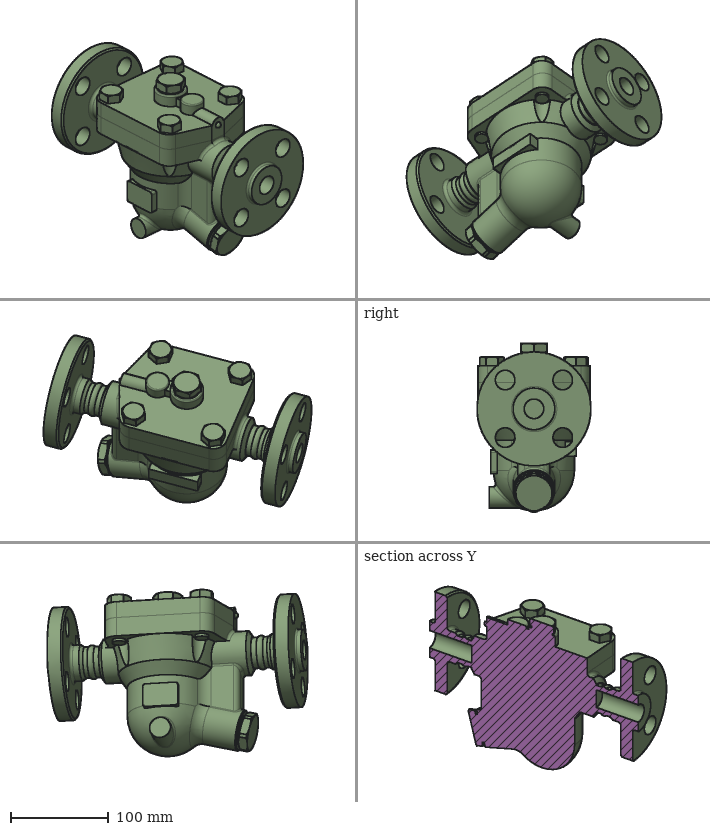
import cadquery as cq
import math


overall_length = 264
face_diameter = 42.8
face_height = 6.5
flange_diameter = 117.0
flange_thickness = 15.8
flange_chamfer = 1.8
flange_hole_diameter = 20.0
flange_hole_circle = 83.5
bore_diameter = 20.0
bore_depth = 52.8
hub_diameter = 37.2
hub_end = 99.5
neck_diameter = 32.2
neck_start = 95.8
bead_diameter = 35.0
bead_outer = 91.3
bead_inner = 84.7
shoulder_outer = 79.2
shoulder_outer_diameter = 34.3
port_diameter = 46.0
port_end = 75.2
face_root_fillet = 1.8
hub_root_fillet = 3.2

body_x = -10.0
plate_half_width = 57.5
plate_corner_radius = 14.0
nose_x = 60.0
nose_width = 17.5
nose_corner_x = 43.3
cover_top = 44.0
joint_height = 27.2
plate_bottom = 7.0
port_blend = 3.5

bolt_offset = 43.0
bolt_flats = 22.0
bolt_corners = 25.0
bolt_head_top = 53.3
bolt_diameter = 14.0
bolt_end_length = 3.0
hex_chamfer = 1.0
scallop_radius = 9.8

main_boss_diameter = 33.8
main_boss_top = 56.5
plug_flats = 27.0
plug_corners = 31.0
plug_top = 67.0
plug_gap = 1.0
vent_boss_x = 21.6
vent_boss_diameter = 24.0
boss_edge_fillet = 1.3
web_width = 13.5
web_top = 53.5
channel_diameter = 16.5
channel_height = 41.7
ball_radius = 3.2

skirt_top_radius = 57.0
skirt_bottom_radius = 51.0
skirt_bottom = -19.0
bowl_radius = 41.7
bowl_top = -32.5
bowl_center = -62.8

passage_x = 67.0
passage_half_width = 16.5
passage_corner_radius = 6.3
passage_blend = 15.3
leg_top_fillet = 3.2
leg_foot_fillet = 2.0

strainer_angle = 15
strainer_diameter = 42.8
strainer_length = 80.3
strainer_blend = 15.8
cap_end = 91.5
cap_flats = 37.2
cap_corner_diameter = 41.0
cap_neck_diameter = 32.0
cap_gap = 1.8
strainer_chamfer = 1.0

pad_width = 36.5
pad_height = 24.5
pad_center_z = -54.5
pad_face = 44.4
pad_corner_radius = 2.6
drain_diameter = 22.0
drain_z = -90.8
drain_face = 46.0
drain_blend = 2.6
rear_pad_width = 52.8
rear_pad_height = 14.8
rear_pad_bottom = -48.5
rear_pad_face = 43.5


def cylinder_x(diameter, start, end, z=0):
    """Round bar along X."""
    return cq.Workplane("YZ", origin=(start, 0, z)).circle(diameter / 2).extrude(end - start)


def cylinder_z(x, y, diameter, bottom, top):
    """Upright round bar."""
    return cq.Workplane("XY", origin=(x, y, bottom)).circle(diameter / 2).extrude(top - bottom)


def hexagon(flats, corner_diameter, height, corner_angle, bevel_bottom=False):
    """Hexagon standing on Z = 0 with its corners turned round and bevelled."""
    sharp_diameter = 2 * flats / math.sqrt(3)
    prism = cq.Workplane("XY").polygon(6, sharp_diameter).extrude(height)
    prism = prism.rotate((0, 0, 0), (0, 0, 1), corner_angle)
    bevel_width = (corner_diameter - flats) / 2
    envelope = cylinder_z(0, 0, corner_diameter, 0, height)
    envelope = envelope.faces(">Z").chamfer(hex_chamfer, bevel_width)
    if bevel_bottom:
        envelope = envelope.faces("<Z").chamfer(hex_chamfer, bevel_width)
    return prism.intersect(envelope)


def pipe_end():
    """Flange, hub, beaded neck and shoulder of the -X end."""
    face_x = -overall_length / 2
    flange_x = face_x + face_height
    flange_back = flange_x + flange_thickness
    bead_middle = (bead_outer + bead_inner) / 2
    flange_radius = flange_diameter / 2
    end = (
        cq.Workplane("XY")
        .moveTo(face_x, 0)
        .lineTo(face_x, face_diameter / 2)
        .lineTo(flange_x - face_root_fillet, face_diameter / 2)
        .radiusArc((flange_x, face_diameter / 2 + face_root_fillet), -face_root_fillet)
        .lineTo(flange_x, flange_radius)
        .lineTo(flange_back - flange_chamfer, flange_radius)
        .lineTo(flange_back, flange_radius - flange_chamfer)
        .lineTo(flange_back, hub_diameter / 2 + hub_root_fillet)
        .radiusArc((flange_back + hub_root_fillet, hub_diameter / 2), -hub_root_fillet)
        .lineTo(-hub_end, hub_diameter / 2)
        .lineTo(-neck_start, neck_diameter / 2)
        .lineTo(-bead_outer, neck_diameter / 2)
        .threePointArc((-bead_middle, bead_diameter / 2), (-bead_inner, neck_diameter / 2))
        .lineTo(-shoulder_outer, neck_diameter / 2)
        .lineTo(-shoulder_outer, shoulder_outer_diameter / 2)
        .lineTo(-port_end, port_diameter / 2)
        .lineTo(-port_end, 0)
        .close()
        .revolve(360, (0, 0, 0), (1, 0, 0))
    )
    holes = (
        cq.Workplane("YZ", origin=(face_x, 0, 0))
        .polarArray(flange_hole_circle / 2, 45, 360, 4)
        .circle(flange_hole_diameter / 2)
        .extrude(face_height + flange_thickness)
    )
    return end.cut(holes)


def plate(bottom, top):
    """Square plate with a nose toward +X and rounded corners."""
    left = body_x - plate_half_width
    half_nose = nose_width / 2
    outline = [
        (left, -plate_half_width),
        (nose_corner_x, -plate_half_width),
        (nose_x, -half_nose),
        (nose_x, half_nose),
        (nose_corner_x, plate_half_width),
        (left, plate_half_width),
    ]
    slab = cq.Workplane("XY", origin=(0, 0, bottom)).polyline(outline).close().extrude(top - bottom)
    rounded = [edge for edge in slab.edges("|Z").vals() if abs(edge.Center().y) > half_nose + 2.6]
    return slab.newObject(rounded).fillet(plate_corner_radius)


def upper_half():
    """Space above the underside of the body flange."""
    return cq.Workplane("XY", origin=(0, 0, plate_bottom)).rect(
        overall_length, overall_length).extrude(port_diameter)


def body_flange():
    """Lower plate blended into the upper halves of the two ports."""
    flange = plate(plate_bottom, joint_height)
    ports = cylinder_x(port_diameter, -port_end, port_end)
    joined = flange.union(ports.intersect(upper_half()))
    seam = [
        edge for edge in joined.edges().vals()
        if edge.geomType() != "LINE" and abs(edge.Center().x) < port_end - 2.6
        and abs(edge.Center().y) < port_diameter / 2 and edge.Center().z < port_diameter / 2 + 0.3
    ]
    return joined.newObject(seam).fillet(port_blend)


def bowl():
    """Tapered skirt, cylinder and round bottom about the body axis."""
    return (
        cq.Workplane("XZ")
        .moveTo(0, plate_bottom)
        .lineTo(skirt_top_radius, plate_bottom)
        .lineTo(skirt_bottom_radius, skirt_bottom)
        .lineTo(bowl_radius, bowl_top)
        .lineTo(bowl_radius, bowl_center)
        .radiusArc((0, bowl_center - bowl_radius), bowl_radius)
        .close()
        .revolve(360, (0, 0, 0), (0, 1, 0))
        .translate((body_x, 0, 0))
    )


def tilt(shape):
    """Turn a shape standing on Z = 0 onto the strainer axis through the bowl center."""
    turned = shape.rotate((0, 0, 0), (0, 1, 0), 90 + strainer_angle)
    return turned.translate((body_x, 0, bowl_center))


def strainer():
    """Inclined strainer barrel with a blend onto the round bottom."""
    radius = strainer_diameter / 2
    reach = bowl_radius + strainer_blend
    blend_z = math.sqrt(reach**2 - (radius + strainer_blend) ** 2)
    touch_scale = bowl_radius / reach
    barrel = (
        cq.Workplane("XZ")
        .lineTo((radius + strainer_blend) * touch_scale, blend_z * touch_scale)
        .radiusArc((radius, blend_z), strainer_blend)
        .lineTo(radius, strainer_length - strainer_chamfer)
        .lineTo(radius - strainer_chamfer, strainer_length)
        .lineTo(0, strainer_length)
        .close()
        .revolve(360, (0, 0, 0), (0, 1, 0))
    )
    neck = cylinder_z(0, 0, cap_neck_diameter, strainer_length, strainer_length + cap_gap)
    cap_bottom = strainer_length + cap_gap
    cap = hexagon(cap_flats, cap_corner_diameter, cap_end - cap_bottom, 0, True).translate((0, 0, cap_bottom))
    return tilt(barrel.union(neck).union(cap))


def drained_bowl():
    """Bowl with the drain stub toward -Y and a blend between them."""
    stub = cq.Workplane("XZ", origin=(body_x, 0, drain_z)).circle(drain_diameter / 2).extrude(drain_face)
    joined = bowl().union(stub)
    seam = joined.edges(cq.selectors.BoxSelector(
        (body_x - drain_diameter, 1.3 - drain_face, drain_z - drain_diameter),
        (body_x + drain_diameter, -drain_diameter / 2, drain_z + drain_diameter)))
    return seam.fillet(drain_blend)


def leg():
    """Upright passage between the outlet port and the strainer, outer corners rounded."""
    length = passage_x - body_x
    foot = bowl_center - strainer_diameter / 4
    block = cq.Workplane("XY", origin=(body_x + length / 2, 0, foot)).rect(
        length, 2 * passage_half_width).extrude(-foot)
    return block.edges("|Z and >X").fillet(passage_corner_radius)


def leg_blend():
    """Concave corners between the leg and the bowl."""
    center_y = passage_half_width + passage_blend
    reach = bowl_radius + passage_blend
    center_x = math.sqrt(reach**2 - center_y**2)
    blend_x = body_x + center_x
    touch_x = body_x + center_x * bowl_radius / reach
    touch_y = center_y * bowl_radius / reach
    return (
        cq.Workplane("XY", origin=(0, 0, bowl_center))
        .moveTo(body_x, -touch_y)
        .lineTo(touch_x, -touch_y)
        .radiusArc((blend_x, -passage_half_width), passage_blend)
        .lineTo(blend_x, passage_half_width)
        .radiusArc((touch_x, touch_y), passage_blend)
        .lineTo(body_x, touch_y)
        .close()
        .extrude(-bowl_center)
    )


def seam_box(low, high):
    """Selector for the edges around the leg between two heights."""
    side = passage_half_width + 0.3
    return cq.selectors.BoxSelector((body_x + 2.6, -side, low), (passage_x + 0.3, side, high))


def outlet_leg():
    """Leg with blended seams onto the outlet port above and the strainer barrel below."""
    lower_port = cylinder_x(port_diameter, body_x, port_end).cut(upper_half())
    barrel = tilt(cylinder_z(0, 0, strainer_diameter, 0, strainer_length - strainer_chamfer))
    joined = leg().union(lower_port)
    port_seam = seam_box(-port_diameter / 2, -passage_half_width)
    joined = joined.edges(port_seam).fillet(leg_top_fillet).union(barrel)
    foot_reach = strainer_diameter / 4
    strainer_seam = seam_box(bowl_center - foot_reach, bowl_center + foot_reach)
    return joined.edges(strainer_seam).fillet(leg_foot_fillet)


def front_pad():
    block = (
        cq.Workplane("XZ", origin=(body_x, 0, pad_center_z))
        .rect(pad_width, pad_height)
        .extrude(pad_face)
        .edges("|Y")
        .fillet(pad_corner_radius)
    )
    return block


def rear_pad():
    return (
        cq.Workplane("XY", origin=(body_x, rear_pad_face / 2, rear_pad_bottom))
        .rect(rear_pad_width, rear_pad_face)
        .extrude(rear_pad_height)
    )


bolt_places = [
    (body_x + side_x * bolt_offset, side_y * bolt_offset)
    for side_x in (-1, 1)
    for side_y in (-1, 1)
]

body = drained_bowl()
for x, y in bolt_places:
    body = body.cut(cylinder_z(x, y, 2 * scallop_radius, skirt_bottom, plate_bottom))
lower_ports = cylinder_x(port_diameter, -port_end, port_end).cut(upper_half())
body_parts = (
    lower_ports, body_flange(), outlet_leg(), leg_blend(), strainer(), front_pad(), rear_pad()
)
for part in body_parts:
    body = body.union(part)

main_boss = cylinder_z(body_x, 0, main_boss_diameter, joint_height, main_boss_top)
main_boss = main_boss.faces(">Z").edges().fillet(boss_edge_fillet)
vent_boss = cylinder_z(vent_boss_x, 0, vent_boss_diameter, joint_height, main_boss_top)
vent_boss = vent_boss.faces(">Z").edges().fillet(boss_edge_fillet)
web = cq.Workplane("XY", origin=((body_x + vent_boss_x) / 2, 0, joint_height)).rect(
    vent_boss_x - body_x, web_width).extrude(web_top - joint_height)
channel = cylinder_x(channel_diameter, vent_boss_x, nose_x, channel_height)
ball = cq.Workplane("XY", origin=(nose_x, 0, channel_height)).sphere(ball_radius)

cover = plate(joint_height, cover_top)
for feature in (main_boss, vent_boss, web, channel, ball):
    cover = cover.union(feature)

plug_bottom = main_boss_top + plug_gap
plug = hexagon(plug_flats, plug_corners, plug_top - plug_bottom, 0, True).translate((body_x, 0, plug_bottom))
plug_neck = cylinder_z(body_x, 0, plug_flats, main_boss_top, plug_bottom)
cover = cover.union(plug_neck).union(plug)

for x, y in bolt_places:
    corner_angle = 0 if x * y > 0 else 30
    head = hexagon(bolt_flats, bolt_corners, bolt_head_top - cover_top, corner_angle).translate((x, y, cover_top))
    cover = cover.union(head)
    body = body.union(cylinder_z(x, y, bolt_diameter, plate_bottom - bolt_end_length, joint_height))

bore = cylinder_x(bore_diameter, -overall_length / 2, -overall_length / 2 + bore_depth)
inlet = pipe_end()
body = body.union(inlet).union(inlet.mirror("YZ")).cut(bore).cut(bore.mirror("YZ"))

result = body.union(cover, clean=False)